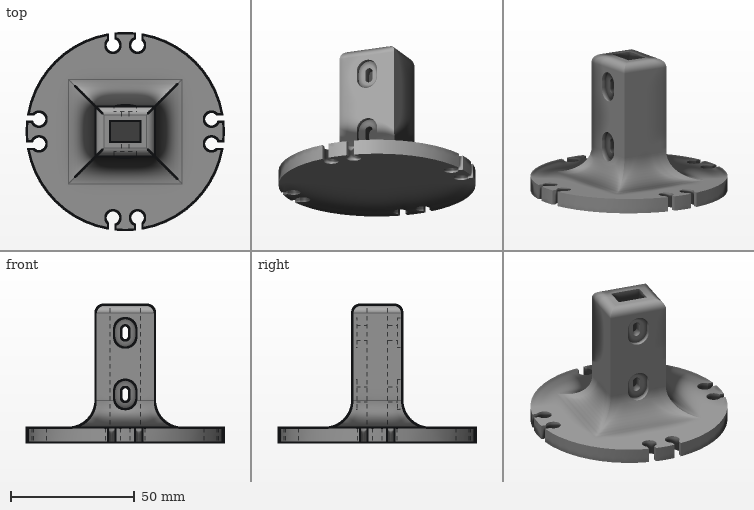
import cadquery as cq
import math

plate_radius = 40.0
plate_thickness = 6.0

notch_hole_diameter = 6.0
notch_hole_distance = 35.0
notch_hole_offset = 5.0
notch_slot_inner = 4.0
notch_slot_width = 3.0

column_wall = 6.0
pocket_length = 12.2
pocket_width = 8.4
column_length = pocket_length + 2 * column_wall
column_width = pocket_width + 2 * column_wall
total_height = 56.0
foot_radius = 11.0
top_radius = 3.5

slot_width = 3.2
slot_height = 6.0
recess_width = 9.0
recess_height = 12.0
recess_depth = 2.0
slot_levels = (19.5, 44.5)


def column_profile(plane, half_width, depth):
    """Flared and rounded silhouette of the column, extruded to both sides of the plane."""
    diagonal = math.sqrt(0.5)
    foot_half_width = half_width + foot_radius
    foot_top = plate_thickness + foot_radius
    top_start = total_height - top_radius
    top_half_width = half_width - top_radius
    foot_mid = (foot_half_width - foot_radius * diagonal, foot_top - foot_radius * diagonal)
    top_mid = (top_half_width + top_radius * diagonal, top_start + top_radius * diagonal)
    return (
        cq.Workplane(plane)
        .moveTo(-foot_half_width, 0)
        .lineTo(foot_half_width, 0)
        .lineTo(foot_half_width, plate_thickness)
        .threePointArc(foot_mid, (half_width, foot_top))
        .lineTo(half_width, top_start)
        .threePointArc(top_mid, (top_half_width, total_height))
        .lineTo(-top_half_width, total_height)
        .threePointArc((-top_mid[0], top_mid[1]), (-half_width, top_start))
        .lineTo(-half_width, foot_top)
        .threePointArc((-foot_mid[0], foot_mid[1]), (-foot_half_width, plate_thickness))
        .close()
        .extrude(depth, both=True)
    )


def make_column():
    """Crossing the two silhouettes gives mitred corners on the foot and the top."""
    along_y = column_profile("XZ", column_length / 2, plate_radius)
    along_x = column_profile("YZ", column_width / 2, plate_radius)
    return along_y.intersect(along_x)


def make_notch(side):
    """Keyhole notch at the +X edge; side (+1 or -1) picks the half of the pair."""
    hole = (
        cq.Workplane("XY")
        .center(notch_hole_distance, side * notch_hole_offset)
        .circle(notch_hole_diameter / 2)
        .extrude(plate_thickness)
    )
    slot_length = plate_radius - notch_hole_distance
    slot_offset = notch_slot_inner + notch_slot_width / 2
    slot = (
        cq.Workplane("XY")
        .center(notch_hole_distance + slot_length / 2, side * slot_offset)
        .rect(slot_length, notch_slot_width)
        .extrude(plate_thickness)
    )
    return hole.union(slot)


def make_plate():
    plate = cq.Workplane("XY").circle(plate_radius).extrude(plate_thickness)
    notch_pair = make_notch(1).union(make_notch(-1))
    for angle in (0, 90, 180, 270):
        plate = plate.cut(notch_pair.rotate((0, 0, 0), (0, 0, 1), angle))
    return plate


def make_pocket():
    """Blind rectangular pocket from the top of the column down to the plate."""
    return (
        cq.Workplane("XY", origin=(0, 0, plate_thickness))
        .rect(pocket_length, pocket_width)
        .extrude(total_height - plate_thickness)
    )


def upright_slot(width, height, level, start_y, length_y):
    """Vertical obround running from start_y towards +Y."""
    return (
        cq.Workplane("XZ", origin=(0, start_y, level))
        .slot2D(height, width, 90)
        .extrude(-length_y)
    )


def make_screw_slot(level):
    """Through slot with a flat-bottomed recess at each end, open outwards past the foot."""
    reach = column_width / 2 + foot_radius
    recess_floor = column_width / 2 - recess_depth
    recess_length = reach - recess_floor
    through = upright_slot(slot_width, slot_height, level, -reach, 2 * reach)
    front = upright_slot(recess_width, recess_height, level, -reach, recess_length)
    back = upright_slot(recess_width, recess_height, level, recess_floor, recess_length)
    return through.union(front).union(back)


result = make_plate().union(make_column()).cut(make_pocket())
for slot_level in slot_levels:
    result = result.cut(make_screw_slot(slot_level))